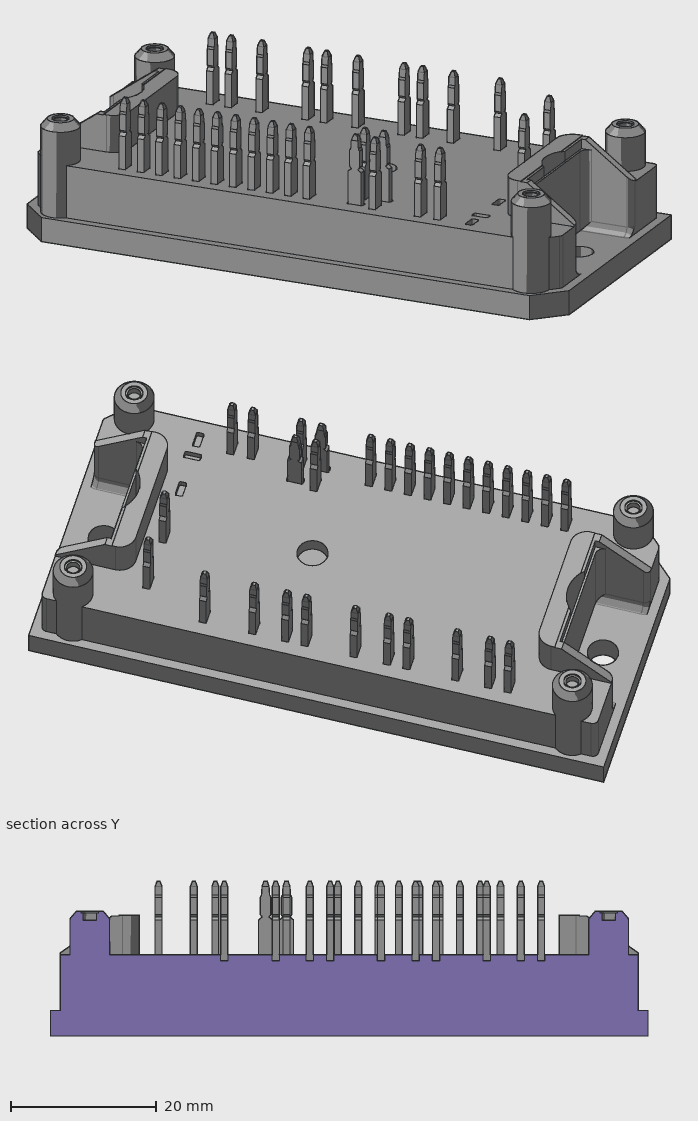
import cadquery as cq
import math

base_length = 82.0
base_width = 37.4
base_height = 3.5
base_chamfer = 4.1

body_length = 79.3
body_width = 34.8
body_top = 11.15
body_chamfer = 3.3
body_corner_radius = 0.8

mount_x = 35.6
mount_hole_diameter = 4.3
recess_half_width = 8.85
recess_radius = 1.15
recess_mouth_radius = 0.8
recess_wall_x = 32.3
rim_face_x = 32.0
ledge_top = 15.1
head_clearance_radius = 5.0

rim_top = 16.6
rim_half_width = 10.1
rim_back_x = 28.8
rim_step_x = 31.6
rim_corner_radius = 2.3
cheek_low_z = 11.4
cheek_top = 16.5
cheek_top_x = 32.55

post_y = 15.3
post_diameter = 5.5
post_shoulder = 16.1
post_top = 17.1
post_top_diameter = 3.7
post_hole_diameter = 1.8
post_hole_depth = 1.2
post_counterbore_diameter = 2.4
post_counterbore_depth = 0.25

vent_x = 5.8
vent_diameter = 4.3
vent_depth = 2.0

pin_top = 21.2
pin_thickness = 1.0
pin_tip_thickness = 0.4
pin_tip_start = 20.5
slot_length = 2.4
slot_width = 1.1
slot_corner_radius = 0.25
slot_depth = 0.8
slot_floor = body_top - slot_depth
pin_side = [
    (1.0, 15.9),
    (0.5, 16.3),
    (0.7, 16.65),
    (0.7, 19.0),
    (0.6, 19.35),
    (0.5, pin_tip_start),
    (0.25, pin_top),
]

row_y = 14.3
inner_row_y = 11.4
pin_pitch = 2.8
first_pin_x = -26.3
row_pin_count = 11
end_column_x = 26.15

rear_pin_x = [first_pin_x, -23.5, -18.9, -11.9, -9.1, -4.35, 2.6, 5.4, 10.1, 17.1]
front_pin_x = [first_pin_x + i * pin_pitch for i in range(row_pin_count)] + [11.5, 18.4, 21.3]

pins_along_y = [(x, row_y) for x in rear_pin_x]
pins_along_y += [(x, -row_y) for x in front_pin_x]
pins_along_y += [(8.6, -inner_row_y), (end_column_x, 10.8), (end_column_x, 2.7)]
pins_along_x = [(8.6, -row_y), (11.5, -inner_row_y)]
empty_slots_along_y = [(end_column_x, -row_y), (end_column_x, -5.6)]
empty_slots_along_x = [(end_column_x, -inner_row_y)]


def box(x0, x1, y0, y1, z0, z1):
    """Box between two opposite corners."""
    return cq.Workplane("XY").box(x1 - x0, y1 - y0, z1 - z0, centered=False).translate((x0, y0, z0))


def cylinder(x, y, z0, z1, diameter):
    """Upright cylinder between two heights."""
    return cq.Workplane("XY", origin=(x, y, z0)).circle(diameter / 2).extrude(z1 - z0)


def chamfered_plate(length, width, z0, z1, chamfer):
    """Plate whose two front (-Y) corners are cut off."""
    plate = box(-length / 2, length / 2, -width / 2, width / 2, z0, z1)
    return plate.edges("|Z and <Y").chamfer(chamfer)


def raised_wall():
    """Wall with a low step along its outer edge and cheeks sloping down to the left end of the body."""
    end_x = -body_length / 2
    block = box(end_x, -rim_back_x, -rim_half_width, rim_half_width, body_top, rim_top)
    block = block.edges("|Z and >X").fillet(rim_corner_radius)
    cut_away = (
        cq.Workplane("XZ")
        .moveTo(end_x, cheek_low_z)
        .lineTo(-cheek_top_x, cheek_top)
        .lineTo(-rim_step_x, cheek_top)
        .lineTo(-rim_step_x, rim_top)
        .lineTo(end_x, rim_top)
        .close()
        .extrude(rim_half_width, both=True)
    )
    return block.cut(cut_away)


def flare_post(radius, cove_radius, height):
    """Upright round with a concave cove around its foot."""
    foot_radius = radius + cove_radius
    cove_middle = (foot_radius - cove_radius * math.sqrt(0.5), cove_radius * (1 - math.sqrt(0.5)))
    return (
        cq.Workplane("XZ")
        .lineTo(foot_radius, 0)
        .threePointArc(cove_middle, (radius, cove_radius))
        .lineTo(radius, height)
        .lineTo(0, height)
        .close()
        .revolve(360, (0, 0, 0), (0, 1, 0))
    )


def recess_cutter():
    """Left recess: flared mouth, rounded inner corners and floor coves, stepped back above the ledge."""
    outer_x = -base_length / 2
    mouth_x = -body_length / 2
    throat_x = mouth_x + recess_mouth_radius
    y = recess_half_width
    plan = box(mouth_x, -recess_wall_x, -y, y, base_height, ledge_top)
    plan = plan.edges("|Z and >X").fillet(recess_radius)
    coved = box(throat_x, -recess_wall_x, -y, y, base_height, ledge_top)
    coved = coved.edges("|X and <Z").fillet(recess_radius)
    lower = plan.intersect(coved)

    flare_y = y + recess_mouth_radius
    mouth = box(outer_x, throat_x, -flare_y, flare_y, base_height, ledge_top)
    flare = flare_post(recess_mouth_radius, recess_radius, ledge_top - base_height)
    for side in (-1, 1):
        mouth = mouth.cut(flare.translate((throat_x, side * flare_y, base_height)))
    upper = box(outer_x, -rim_face_x, -y, y, ledge_top, rim_top)
    return lower.union(mouth).union(upper)


def head_clearance_cutter():
    """Round segment behind the recess wall, concentric with the left mounting hole."""
    disc = cylinder(-mount_x, 0, 0, rim_top, 2 * head_clearance_radius)
    return disc.intersect(box(-rim_face_x, 0, -base_width, base_width, 0, rim_top))


def post(x, y):
    """Corner post with a conical top and a counterbored blind hole."""
    shaft = cylinder(x, y, base_height, post_top, post_diameter)
    shaft = shaft.faces(">Z").chamfer(post_top - post_shoulder, (post_diameter - post_top_diameter) / 2)
    shaft = shaft.cut(cylinder(x, y, post_top - post_counterbore_depth, post_top, post_counterbore_diameter))
    return shaft.cut(cylinder(x, y, post_top - post_hole_depth, post_top, post_hole_diameter))


def slot_cutter():
    """Rounded slot in the body top, its long side along Y."""
    slot = box(-slot_width / 2, slot_width / 2, -slot_length / 2, slot_length / 2, slot_floor, body_top)
    return slot.edges("|Z").fillet(slot_corner_radius)


def pin():
    """Flat press-fit pin with its wide side along Y, tapered on all sides at the tip."""
    foot = [(pin_side[0][0], slot_floor)]
    right_side = foot + pin_side
    left_side = [(-y, z) for y, z in reversed(right_side)]
    blade = cq.Workplane("YZ").polyline(right_side + left_side).close().extrude(pin_thickness / 2, both=True)
    edge_side = [
        (pin_thickness / 2, slot_floor),
        (pin_thickness / 2, pin_tip_start),
        (pin_tip_thickness / 2, pin_top),
    ]
    mirrored_side = [(-x, z) for x, z in reversed(edge_side)]
    taper = cq.Workplane("XZ").polyline(edge_side + mirrored_side).close().extrude(slot_length, both=True)
    return blade.intersect(taper)


def placed(shape, along_y, along_x):
    """Copies of a shape at the given points, turned a quarter where it runs along X."""
    turned = shape.rotate((0, 0, 0), (0, 0, 1), 90)
    copies = [shape.translate((x, y, 0)).val() for x, y in along_y]
    copies += [turned.translate((x, y, 0)).val() for x, y in along_x]
    return cq.Workplane("XY").newObject([cq.Compound.makeCompound(copies)])


body = chamfered_plate(body_length, body_width, base_height, body_top, body_chamfer)
body = body.edges("|Z").fillet(body_corner_radius)
wall = raised_wall()
body = body.union(wall).union(wall.mirror("YZ"))

recess = recess_cutter()
body = body.cut(recess).cut(recess.mirror("YZ"))

base = chamfered_plate(base_length, base_width, 0, base_height, base_chamfer)
result = base.union(body)
clearance = head_clearance_cutter()
result = result.cut(clearance).cut(clearance.mirror("YZ"))

for x in (-mount_x, mount_x):
    result = result.cut(cylinder(x, 0, 0, base_height, mount_hole_diameter))
    for y in (-post_y, post_y):
        result = result.union(post(x, y))

result = result.cut(cylinder(vent_x, 0, body_top - vent_depth, body_top, vent_diameter))

slots_along_y = pins_along_y + empty_slots_along_y
slots_along_x = pins_along_x + empty_slots_along_x
result = result.cut(placed(slot_cutter(), slots_along_y, slots_along_x))
result = result.union(placed(pin(), pins_along_y, pins_along_x))